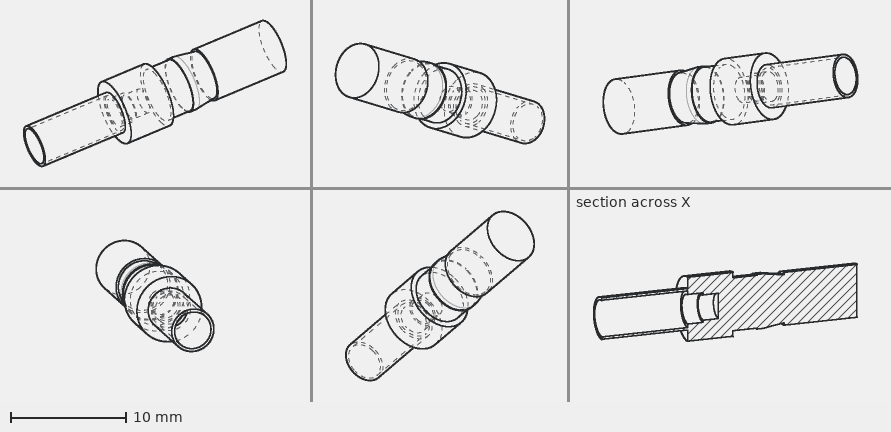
import cadquery as cq

total_length = 23.8
collar_start = 8.0
collar_end = 12.23
band_start = 14.47
band_end = 15.05
taper_end = 16.97

wire_tube_diameter = 3.78
collar_diameter = 5.8
body_diameter = 4.8
band_diameter = 4.97
taper_end_diameter = 4.4

bore_diameters = [3.25, 2.62, 2.24]
first_bore_depth = collar_start
bore_step_length = 1.43


def cylinder(diameter, start, end):
    """Cylinder on the Y axis between two lengthwise positions."""
    plane = cq.Workplane("XZ", origin=(0, start, 0))
    return plane.circle(diameter / 2).extrude(start - end)


def cone(start_diameter, end_diameter, start, end):
    """Cone frustum on the Y axis between two lengthwise positions."""
    profile = (
        cq.Workplane("XY")
        .moveTo(0, start)
        .lineTo(start_diameter / 2, start)
        .lineTo(end_diameter / 2, end)
        .lineTo(0, end)
        .close()
    )
    return profile.revolve(360, (0, 0, 0), (0, 1, 0))


result = (
    cylinder(wire_tube_diameter, 0, collar_start)
    .union(cylinder(collar_diameter, collar_start, collar_end))
    .union(cylinder(body_diameter, collar_end, band_start))
    .union(cylinder(band_diameter, band_start, band_end))
    .union(cone(band_diameter, taper_end_diameter, band_end, taper_end))
    .union(cylinder(body_diameter, taper_end, total_length))
)

for step, diameter in enumerate(bore_diameters):
    depth = first_bore_depth + step * bore_step_length
    result = result.cut(cylinder(diameter, 0, depth))